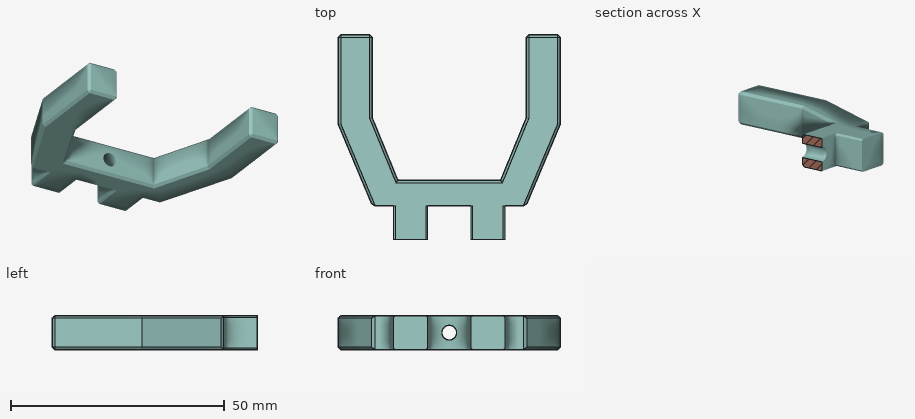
import cadquery as cq

width = 52.0
depth = 48.0
thickness = 8.0

lug_length = 7.9
bar_width = 6.05
arm_width = 8.0
outer_bend_y = 27.0
inner_bend_y = 28.5
base_half_width = 18.0
floor_half_width = 12.0
body_chamfer = 0.6

lug_width = 8.0
lug_gap = 10.1
lug_chamfer = 0.4
hole_diameter = 3.4

half_width = width / 2
inner_half_width = half_width - arm_width
floor_y = lug_length + bar_width
lug_center_x = (lug_gap + lug_width) / 2


def make_body():
    """U-shaped fork, chamfered everywhere but along the rear face that carries the lugs."""
    right_half = [
        (base_half_width, lug_length),
        (half_width, outer_bend_y),
        (half_width, depth),
        (inner_half_width, depth),
        (inner_half_width, inner_bend_y),
        (floor_half_width, floor_y),
    ]
    left_half = [(-x, y) for x, y in reversed(right_half)]
    body = cq.Workplane("XY").polyline(right_half + left_half).close().extrude(thickness)

    profile_edges = body.faces("|Z").edges().edges("not <Y")
    end_corners = body.edges("|Z and >Y")
    base_corners = body.edges("|Z and <Y")
    chamfered_edges = profile_edges.add(end_corners).add(base_corners)
    return chamfered_edges.chamfer(body_chamfer)


def make_lug(center_x):
    """Square lug with chamfers along its length and a plain tip."""
    return (
        cq.Workplane("XY")
        .box(lug_width, lug_length, thickness, centered=(True, False, False))
        .edges("|Y")
        .chamfer(lug_chamfer)
        .translate((center_x, 0, 0))
    )


def make_hole():
    """Round hole along Y through the crossbar, at mid thickness."""
    return (
        cq.Workplane("XZ", origin=(0, floor_y, thickness / 2))
        .circle(hole_diameter / 2)
        .extrude(floor_y)
    )


result = make_body()
for side in (-1, 1):
    result = result.union(make_lug(side * lug_center_x))
result = result.cut(make_hole())